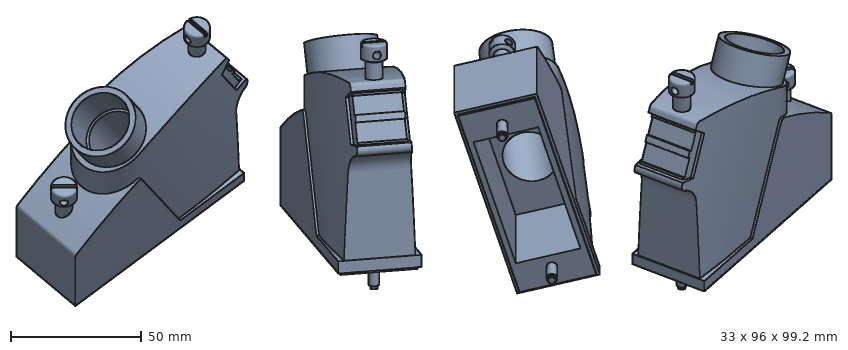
import cadquery as cq
import math


WIDTH = 33.0
FOOT_LENGTH = 88.9
FOOT_HEIGHT = 4.9
REAR_FACE_Y = 88.5
FRONT_HEIGHT = 31.2
CREST_Z = 49.3
CORNER_ROUND = 2.0

TILT = math.radians(25)
TILT_SIN = math.sin(TILT)
TILT_COS = math.cos(TILT)
PIPE_Y = 34.0
PIPE_Z = 63.0

BEYOND_PART = 99.2

BODY_HALF_WIDTH = 15.5
TAPER_RADIUS = 347.2
TAPER_REACH = 69.4
NOSE_CENTRE_Y = 34.4
SHOULDER_Y = 55.3

PIPE_OUTER_RADIUS = 14.2
PIPE_LENGTH = 12.5
PIPE_ROOT = 4.0
PIPE_BORE_RADIUS = 11.7
PIPE_BORE_DEPTH = 18.6
LOWER_BORE_RADIUS = 10.6
LOWER_BORE_DEPTH = 54.6

LIP_DEPTH = 1.1
LIP_INSET = 1.2
CAVITY_WIDTH = 25.8
CAVITY_LENGTH = 59.5
CAVITY_CEILING = 30.6

POCKET_Y = 81.6
POCKET_Z = 68.2
POCKET_FLOOR = 18.3
INSERT_FLOOR_WIDTH = 21.1
INSERT_FACE_WIDTH = 19.6
INSERT_THICKNESS = 3.4
INSERT_RIDGE = 1.2
RIDGE_START = 7.4
RIDGE_END = 10.3
END_LIP = 0.9
ROOT_EMBED = 1.0

FRONT_SCREW_Y = 9.5
REAR_SCREW_Y = 79.6
FRONT_SCREW_TOP = 50.9
REAR_SCREW_TOP = 89.1
FRONT_SCREW_TURN = 47
HEAD_RADIUS = 5.1
HEAD_HEIGHT = 6.4
HEAD_ROUND = 1.0
NECK_HEIGHT = 0.9
SHANK_RADIUS = 3.4
SLOT_WIDTH = 1.4
SLOT_DEPTH = 1.5
CROSS_HOLE_RADIUS = 1.6
CROSS_HOLE_DROP = 4.0
PIN_RADIUS = 2.1
PIN_CHAMFER = 0.4
PIN_END = -9.0
TIP_RADIUS = 1.5
TIP_END = -10.1


def tilted_plane():
    """Plane square to the pipe axis; its local Y runs rearward and up."""
    return cq.Plane(origin=(0, PIPE_Y, PIPE_Z), xDir=(1, 0, 0), normal=(0, -TILT_SIN, TILT_COS))


def side_extrusion(outline, width):
    """Extrude an outline closed in the Y-Z plane evenly to both sides of X = 0."""
    return outline.close().extrude(width / 2, both=True)


def tilted_distance(y, z):
    """Distance of a Y-Z point from the pipe axis, positive on the rear side."""
    return (y - PIPE_Y) * TILT_COS + (z - PIPE_Z) * TILT_SIN


def latch_point(along, out):
    """Y-Z point given by its distance down the latch pocket floor and outward from it."""
    return (
        POCKET_Y + along * TILT_SIN + out * TILT_COS,
        POCKET_Z - along * TILT_COS + out * TILT_SIN,
    )


def make_foot_block():
    """Full-width block: low foot at the rear, arched wedge at the front."""
    crest_y = SHOULDER_Y - (CREST_Z - FOOT_HEIGHT) * math.tan(TILT)
    outline = (
        cq.Workplane("YZ")
        .moveTo(0, 0)
        .lineTo(FOOT_LENGTH, 0)
        .lineTo(FOOT_LENGTH, FOOT_HEIGHT)
        .lineTo(SHOULDER_Y, FOOT_HEIGHT)
        .lineTo(crest_y, CREST_Z)
        .threePointArc((17.4, 41.5), (0, FRONT_HEIGHT))
    )
    block = side_extrusion(outline, WIDTH)
    for corner in [(0, 0, FRONT_HEIGHT), (0, crest_y, CREST_Z)]:
        block = block.edges(cq.selectors.NearestToPointSelector(corner)).fillet(CORNER_ROUND)
    return block


def make_body():
    """Arched upper hood with a round front and sides that taper towards the rear."""
    nose_y = NOSE_CENTRE_Y - BODY_HALF_WIDTH
    nose_z = PIPE_Z - (PIPE_Y - nose_y) * math.tan(TILT)
    outline = (
        cq.Workplane("YZ")
        .moveTo(nose_y, 0)
        .lineTo(REAR_FACE_Y, 0)
        .lineTo(REAR_FACE_Y, 40.1)
        .threePointArc((91.1, 46.3), (93.6, 48.2))
        .threePointArc((96.0, 50.8), (95.3, 52.6))
        .lineTo(*latch_point(POCKET_FLOOR, 0))
        .lineTo(POCKET_Y, POCKET_Z)
        .lineTo(86.4, 71.9)
        .lineTo(85.5, 73.8)
        .threePointArc((84.8, 74.5), (83.6, 74.8))
        .threePointArc((60.0, 71.5), (PIPE_Y, PIPE_Z))
        .lineTo(nose_y, nose_z)
    )
    profile = side_extrusion(outline, WIDTH)

    plan = (
        cq.Workplane("XY")
        .moveTo(-BODY_HALF_WIDTH, NOSE_CENTRE_Y)
        .threePointArc((0, nose_y), (BODY_HALF_WIDTH, NOSE_CENTRE_Y))
        .lineTo(BODY_HALF_WIDTH, BEYOND_PART)
        .lineTo(-BODY_HALF_WIDTH, BEYOND_PART)
        .close()
        .extrude(BEYOND_PART)
    )

    shoulder = tilted_distance(SHOULDER_Y, FOOT_HEIGHT)

    def taper_half_width(distance):
        return BODY_HALF_WIDTH - TAPER_RADIUS + math.sqrt(TAPER_RADIUS**2 - distance**2)

    middle = (taper_half_width(TAPER_REACH / 2), shoulder + TAPER_REACH / 2)
    end = (taper_half_width(TAPER_REACH), shoulder + TAPER_REACH)
    taper = (
        cq.Workplane(tilted_plane())
        .moveTo(-BODY_HALF_WIDTH, -BEYOND_PART)
        .lineTo(BODY_HALF_WIDTH, -BEYOND_PART)
        .lineTo(BODY_HALF_WIDTH, shoulder)
        .threePointArc(middle, end)
        .lineTo(-end[0], end[1])
        .threePointArc((-middle[0], middle[1]), (-BODY_HALF_WIDTH, shoulder))
        .close()
        .extrude(BEYOND_PART, both=True)
    )
    return profile.intersect(plan).intersect(taper)


def make_insert():
    """Latch insert: a plate with a ridge, a lip at each end and sides that narrow outward."""
    raised = INSERT_THICKNESS + INSERT_RIDGE
    corners = [
        (-END_LIP, -ROOT_EMBED),
        (-END_LIP, raised),
        (0, raised),
        (0, INSERT_THICKNESS),
        (RIDGE_START, INSERT_THICKNESS),
        (RIDGE_START, raised),
        (RIDGE_END, raised),
        (RIDGE_END, INSERT_THICKNESS),
        (POCKET_FLOOR, INSERT_THICKNESS),
        (POCKET_FLOOR, raised),
        (POCKET_FLOOR + END_LIP, raised),
        (POCKET_FLOOR + END_LIP, -ROOT_EMBED),
    ]
    outline = cq.Workplane("YZ").polyline([latch_point(*corner) for corner in corners])
    plate = side_extrusion(outline, INSERT_FLOOR_WIDTH)

    floor = tilted_distance(POCKET_Y, POCKET_Z)
    section = [
        (INSERT_FLOOR_WIDTH / 2, floor - ROOT_EMBED),
        (INSERT_FLOOR_WIDTH / 2, floor),
        (INSERT_FACE_WIDTH / 2, floor + INSERT_THICKNESS),
        (INSERT_FACE_WIDTH / 2, floor + raised),
    ]
    mirrored = [(-x, distance) for x, distance in reversed(section)]
    drafted_sides = (
        cq.Workplane(tilted_plane())
        .polyline(section + mirrored)
        .close()
        .extrude(BEYOND_PART, both=True)
    )
    return plate.intersect(drafted_sides)


def block_from_underside(width, length, height):
    """Box centred along the foot block, rising from the bottom of the lip."""
    block = cq.Workplane("XY").box(width, length, height, centered=(True, True, False))
    return block.translate((0, FOOT_LENGTH / 2, -LIP_DEPTH))


def make_lip():
    """Shallow lip under the foot block."""
    return block_from_underside(WIDTH - 2 * LIP_INSET, FOOT_LENGTH - 2 * LIP_INSET, LIP_DEPTH)


def make_cavity():
    """Wiring space between the screws, open at the underside."""
    return block_from_underside(CAVITY_WIDTH, CAVITY_LENGTH, CAVITY_CEILING + LIP_DEPTH)


def tilted_cylinder(radius, top, length):
    """Cylinder on the pipe axis reaching down from a height above the tilted plane."""
    return cq.Workplane(tilted_plane()).workplane(offset=top).circle(radius).extrude(-length)


def make_screw(y, top, turn):
    """Captive screw with a slotted, cross-drilled head; turn rotates it about its axis."""
    head_bottom = top - HEAD_HEIGHT
    corner = HEAD_ROUND * (1 - math.sqrt(0.5))
    screw = (
        cq.Workplane("XZ")
        .moveTo(0, top)
        .lineTo(HEAD_RADIUS - HEAD_ROUND, top)
        .threePointArc((HEAD_RADIUS - corner, top - corner), (HEAD_RADIUS, top - HEAD_ROUND))
        .lineTo(HEAD_RADIUS, head_bottom)
        .lineTo(SHANK_RADIUS, head_bottom - NECK_HEIGHT)
        .lineTo(SHANK_RADIUS, 0)
        .lineTo(PIN_RADIUS, 0)
        .lineTo(PIN_RADIUS, PIN_END + PIN_CHAMFER)
        .lineTo(PIN_RADIUS - PIN_CHAMFER, PIN_END)
        .lineTo(TIP_RADIUS, PIN_END)
        .lineTo(TIP_RADIUS, TIP_END)
        .lineTo(0, TIP_END)
        .close()
        .revolve(360, (0, 0, 0), (0, 1, 0))
    )
    slot = cq.Workplane("XY").box(2 * HEAD_RADIUS, SLOT_WIDTH, 2 * SLOT_DEPTH).translate((0, 0, top))
    cross_hole = (
        cq.Workplane("XZ")
        .center(0, top - CROSS_HOLE_DROP)
        .circle(CROSS_HOLE_RADIUS)
        .extrude(HEAD_RADIUS, both=True)
    )
    screw = screw.cut(slot).cut(cross_hole)
    return screw.rotate((0, 0, 0), (0, 0, 1), turn).translate((0, y, 0))


hood = make_foot_block().union(make_body()).union(make_insert()).union(make_lip())
hood = hood.union(tilted_cylinder(PIPE_OUTER_RADIUS, PIPE_LENGTH, PIPE_LENGTH + PIPE_ROOT))
hood = hood.cut(make_cavity())
hood = hood.cut(tilted_cylinder(PIPE_BORE_RADIUS, PIPE_LENGTH, PIPE_BORE_DEPTH))
hood = hood.cut(tilted_cylinder(LOWER_BORE_RADIUS, PIPE_LENGTH, LOWER_BORE_DEPTH))
hood = hood.union(make_screw(FRONT_SCREW_Y, FRONT_SCREW_TOP, FRONT_SCREW_TURN))
result = hood.union(make_screw(REAR_SCREW_Y, REAR_SCREW_TOP, 0))